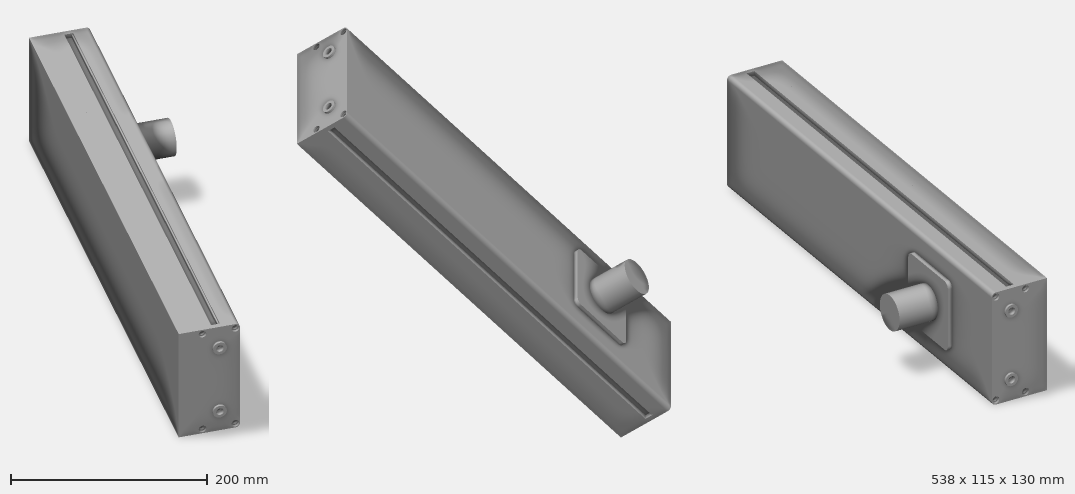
import cadquery as cq

overall_length = 538.0
boss_height = 2.5
body_length = overall_length - 2 * boss_height
body_height = 130.0
front_depth = 19.5
back_y = 65.0
back_edge_radius = 5.0

plate_thickness = 5.5
boss_diameter = 14.5
boss_hole_diameter = 8.0
boss_y = 43.0
boss_spacing = 79.5
boss_hole_depth = boss_height + plate_thickness
screw_recess_diameter = 8.0
screw_recess_depth = 2.5
screw_hole_diameter = 5.5
screw_inset_z = 5.5
screw_rows_y = (25.5, 60.0)

groove_front_y = 36.0
groove_back_y = 45.0
groove_depth = 5.5
step_width = 1.5
step_depth = 1.5

pipe_x = -146.5
pipe_diameter = 40.0
pipe_end_y = 115.0
flange_size = 79.5
flange_thickness = 5.0
flange_corner_radius = 6.5

housing_length = body_length - 2 * plate_thickness
screw_z = body_height / 2 - screw_inset_z


def y_box(length, height, start_y, end_y):
    """Box centred on X and Z that spans start_y to end_y."""
    return cq.Workplane("XY").box(length, end_y - start_y, height).translate((0, (start_y + end_y) / 2, 0))


def x_cylinders(diameter, points, start_x, length):
    """Cylinders along +X from start_x, centred on the given (y, z) points."""
    return cq.Workplane("YZ", origin=(start_x, 0, 0)).pushPoints(points).circle(diameter / 2).extrude(length)


def make_front_cover():
    return y_box(body_length, body_height, 0, front_depth)


def make_housing():
    housing = y_box(housing_length, body_height, front_depth, back_y)
    housing = housing.edges("|X and >Y").fillet(back_edge_radius)
    step_front_y = groove_back_y - step_width
    grooves = ((groove_front_y, step_front_y, groove_depth), (step_front_y, groove_back_y, step_depth))
    for start_y, end_y, depth in grooves:
        cutter = y_box(housing_length, 2 * depth, start_y, end_y)
        for side in (-1, 1):
            housing = housing.cut(cutter.translate((0, 0, side * body_height / 2)))
    return housing


def make_left_end_plate():
    outer_x = -body_length / 2
    boss_x = outer_x - boss_height
    boss_points = [(boss_y, side * boss_spacing / 2) for side in (-1, 1)]
    screw_points = [(y, side * screw_z) for y in screw_rows_y for side in (-1, 1)]

    plate = y_box(plate_thickness, body_height, front_depth, back_y)
    plate = plate.edges("|X and >Y").fillet(back_edge_radius)
    plate = plate.translate((outer_x + plate_thickness / 2, 0, 0))
    plate = plate.union(x_cylinders(boss_diameter, boss_points, boss_x, boss_height))
    plate = plate.cut(x_cylinders(boss_hole_diameter, boss_points, boss_x, boss_hole_depth))
    plate = plate.cut(x_cylinders(screw_recess_diameter, screw_points, outer_x, screw_recess_depth))
    return plate.cut(x_cylinders(screw_hole_diameter, screw_points, outer_x, plate_thickness))


def make_pipe_flange():
    flange = y_box(flange_size, flange_size, back_y, back_y + flange_thickness)
    flange = flange.edges("|Y").fillet(flange_corner_radius)
    pipe = cq.Workplane("XZ", origin=(0, back_y, 0)).circle(pipe_diameter / 2).extrude(back_y - pipe_end_y)
    return flange.union(pipe).translate((pipe_x, 0, 0))


front_cover = make_front_cover()
housing = make_housing()
left_end_plate = make_left_end_plate()
right_end_plate = left_end_plate.mirror("YZ")
pipe_flange = make_pipe_flange()

result = cq.Compound.makeCompound([
    front_cover.val(),
    housing.val(),
    left_end_plate.val(),
    right_end_plate.val(),
    pipe_flange.val(),
])